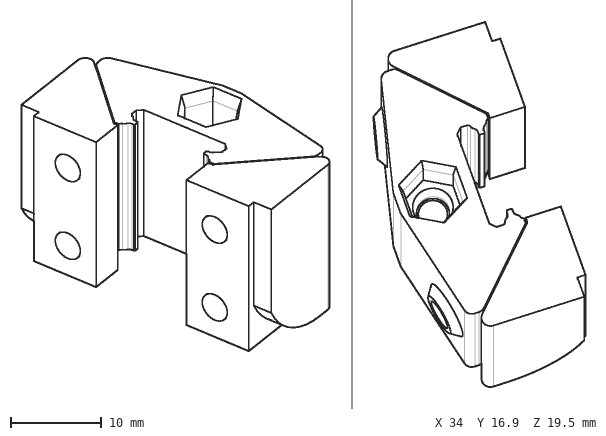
import cadquery as cq
import math

HALF_WIDTH = 17.0
JAW_HEIGHT = 19.5
CHANNEL_HALF_WIDTH = 6.15
JAW_LEDGE_Y = 4.08
SLANT_START_X = 6.73
SLANT_ANGLE = 43.5
CORNER_RADIUS = 1.0
FLANGE_WIDTH = 2.38
FLANGE_SETBACK = 0.95
FLANGE_ARC_RADIUS = 10.0
FLANGE_ARC_Y = 9.93
JAW_HOLE_DIAMETER = 3.4
JAW_HOLE_X = 10.0
JAW_HOLE_HEIGHTS = (3.98, 14.45)

BRIDGE_HEIGHT = 17.0
BRIDGE_BOTTOM_Z = JAW_HEIGHT - BRIDGE_HEIGHT
BRIDGE_BACK_Y = 16.95
BACK_FLAT_HALF_WIDTH = 1.25
BACK_ANGLE = 13.0
BRIDGE_HALF_WIDTH = 15.0
SLANT_GAP = 0.15
BRIDGE_FRONT_Y = 4.3
CHANNEL_FLOOR_Y = 8.1
CHANNEL_CHAMFER = 0.6

TOOTH_Y = 5.5
TOOTH_TIP = (4.65, 0.25)
TOOTH_NOSE = (4.75, 0.35)
TOOTH_ROOT = (5.05, 0.35)
TOOTH_INFLECTION = (5.47, 0.55)
TOOTH_SHOULDER = (5.9, 0.92)
TOOTH_BASE = (CHANNEL_HALF_WIDTH, TOOTH_Y - BRIDGE_FRONT_Y)
TOOTH_ARC_RISE = 0.05

POCKET_Y = 12.8
POCKET_MOUTH_FLATS = 6.65
POCKET_FLATS = 5.8
POCKET_TAPER_DEPTH = 1.5
POCKET_DEPTH = 5.0
SEAT_DIAMETER = 4.45
SEAT_BORE_DIAMETER = 3.65
SEAT_DEPTH = 1.5
SEAT_BORE_DEPTH = 0.68
THROUGH_HOLE_DIAMETER = 3.2

BOSS_X = 10.7
BOSS_HEIGHT = 1.0
BOSS_BASE_DIAMETER = 6.65
BOSS_END_DIAMETER = 4.75
BOSS_HOLE_DIAMETER = 3.4

SLANT_SLOPE = math.tan(math.radians(SLANT_ANGLE))
BACK_SLOPE = math.tan(math.radians(BACK_ANGLE))


def jaw_slant_y(x):
    return JAW_LEDGE_Y + (x - SLANT_START_X) * SLANT_SLOPE


def bridge_slant_y(x):
    return jaw_slant_y(x) + SLANT_GAP / math.cos(math.radians(SLANT_ANGLE))


def back_slope_y(x):
    return BRIDGE_BACK_Y - (x - BACK_FLAT_HALF_WIDTH) * BACK_SLOPE


def round_upright_edge(body, x, y):
    """Fillet the vertical edge that passes through (x, y)."""
    middle = (x, y, JAW_HEIGHT / 2)
    return body.edges("|Z").edges(cq.selectors.NearestToPointSelector(middle)).fillet(CORNER_RADIUS)


def make_jaw():
    """The jaw on the +X side."""
    flange_x = HALF_WIDTH - FLANGE_WIDTH
    apex_y = jaw_slant_y(HALF_WIDTH)
    jaw = (
        cq.Workplane("XY")
        .moveTo(CHANNEL_HALF_WIDTH, 0)
        .lineTo(flange_x, 0)
        .lineTo(flange_x, FLANGE_SETBACK)
        .lineTo(HALF_WIDTH, FLANGE_SETBACK)
        .lineTo(HALF_WIDTH, apex_y)
        .lineTo(SLANT_START_X, JAW_LEDGE_Y)
        .lineTo(CHANNEL_HALF_WIDTH, JAW_LEDGE_Y)
        .close()
        .extrude(JAW_HEIGHT)
    )
    jaw = round_upright_edge(jaw, HALF_WIDTH, apex_y)

    half_chord = FLANGE_ARC_RADIUS * math.sqrt(0.5)
    clearance = (
        cq.Workplane("YZ", origin=(flange_x, 0, 0))
        .moveTo(FLANGE_ARC_Y, 0)
        .threePointArc(
            (FLANGE_ARC_Y - half_chord, FLANGE_ARC_RADIUS - half_chord),
            (FLANGE_ARC_Y - FLANGE_ARC_RADIUS, FLANGE_ARC_RADIUS),
        )
        .lineTo(FLANGE_ARC_Y - FLANGE_ARC_RADIUS, 0)
        .close()
        .extrude(FLANGE_WIDTH)
    )
    jaw = jaw.cut(clearance)

    for height in JAW_HOLE_HEIGHTS:
        hole = cq.Solid.makeCylinder(
            JAW_HOLE_DIAMETER / 2, apex_y, cq.Vector(JAW_HOLE_X, 0, height), cq.Vector(0, 1, 0)
        )
        jaw = jaw.cut(cq.Workplane(hole))
    return jaw


def tooth_point(point, side):
    """Place a tooth point on the back (side = 1) or the front (side = -1) of the tooth."""
    return (point[0], TOOTH_Y + side * point[1])


def arc_middle(start, end, rise):
    """Middle of an arc whose mid height lies `rise` to the left of the chord from start to end."""
    length = math.dist(start, end)
    return (
        (start[0] + end[0]) / 2 - rise * (end[1] - start[1]) / length,
        (start[1] + end[1]) / 2 + rise * (end[0] - start[0]) / length,
    )


def add_tooth_flank(outline, points, rises):
    """Append one arc per point; the sign of each rise makes the arc hollow or crowned."""
    for start, end, rise in zip(points, points[1:], rises):
        outline = outline.threePointArc(arc_middle(start, end, rise), end)
    return outline


def make_bridge_half():
    """The +X half of the bridge block, with its rail tooth."""
    flank = (TOOTH_BASE, TOOTH_SHOULDER, TOOTH_INFLECTION, TOOTH_ROOT)
    back_flank = [tooth_point(point, 1) for point in flank]
    front_flank = [tooth_point(point, -1) for point in reversed(flank)]
    rises = (TOOTH_ARC_RISE, -TOOTH_ARC_RISE, TOOTH_ARC_RISE)
    front_corner_x = SLANT_START_X + (BRIDGE_FRONT_Y - bridge_slant_y(SLANT_START_X)) / SLANT_SLOPE
    back_corner_y = back_slope_y(BRIDGE_HALF_WIDTH)
    slant_corner_y = bridge_slant_y(BRIDGE_HALF_WIDTH)

    outline = (
        cq.Workplane("XY", origin=(0, 0, BRIDGE_BOTTOM_Z))
        .moveTo(0, CHANNEL_FLOOR_Y)
        .lineTo(CHANNEL_HALF_WIDTH - CHANNEL_CHAMFER, CHANNEL_FLOOR_Y)
        .lineTo(CHANNEL_HALF_WIDTH, CHANNEL_FLOOR_Y - CHANNEL_CHAMFER)
        .lineTo(*back_flank[0])
    )
    outline = add_tooth_flank(outline, back_flank, rises)
    outline = (
        outline.lineTo(*tooth_point(TOOTH_NOSE, 1))
        .lineTo(*tooth_point(TOOTH_TIP, 1))
        .lineTo(*tooth_point(TOOTH_TIP, -1))
        .lineTo(*tooth_point(TOOTH_NOSE, -1))
        .lineTo(*front_flank[0])
    )
    outline = add_tooth_flank(outline, front_flank, rises)
    half = (
        outline.lineTo(front_corner_x, BRIDGE_FRONT_Y)
        .lineTo(BRIDGE_HALF_WIDTH, slant_corner_y)
        .lineTo(BRIDGE_HALF_WIDTH, back_corner_y)
        .lineTo(BACK_FLAT_HALF_WIDTH, BRIDGE_BACK_Y)
        .lineTo(0, BRIDGE_BACK_Y)
        .close()
        .extrude(BRIDGE_HEIGHT)
    )
    half = round_upright_edge(half, BRIDGE_HALF_WIDTH, back_corner_y)
    half = round_upright_edge(half, BRIDGE_HALF_WIDTH, slant_corner_y)
    return add_boss(half)


def add_boss(half):
    """Add the conical boss normal to the back slope, with a hole through to the slanted face."""
    angle = math.radians(BACK_ANGLE)
    outward = cq.Vector(math.sin(angle), math.cos(angle), 0)
    base = cq.Vector(BOSS_X, back_slope_y(BOSS_X), BRIDGE_BOTTOM_Z + BRIDGE_HEIGHT / 2)
    boss = cq.Solid.makeCone(
        BOSS_BASE_DIAMETER / 2, BOSS_END_DIAMETER / 2, BOSS_HEIGHT, base, outward
    )
    hole = cq.Solid.makeCylinder(
        BOSS_HOLE_DIAMETER / 2,
        BRIDGE_BACK_Y,
        base + outward * BOSS_HEIGHT,
        outward * -1,
    )
    return half.union(cq.Workplane(boss)).cut(cq.Workplane(hole))


def across_corners(flats):
    return flats / math.cos(math.pi / 6)


def make_nut_pocket():
    """Tapered hexagonal pocket, conical seat, seat bore and through hole as one cutter."""
    taper_z = JAW_HEIGHT - POCKET_TAPER_DEPTH
    floor_z = JAW_HEIGHT - POCKET_DEPTH
    down = cq.Vector(0, 0, -1)
    floor_centre = cq.Vector(0, POCKET_Y, floor_z)

    pocket = (
        cq.Workplane("XY", origin=(0, POCKET_Y, floor_z))
        .polygon(6, across_corners(POCKET_FLATS))
        .extrude(taper_z - floor_z)
    )
    mouth = (
        cq.Workplane("XY", origin=(0, POCKET_Y, taper_z))
        .polygon(6, across_corners(POCKET_FLATS))
        .workplane(offset=POCKET_TAPER_DEPTH)
        .polygon(6, across_corners(POCKET_MOUTH_FLATS))
        .loft(ruled=True)
    )
    seat = cq.Solid.makeCone(SEAT_DIAMETER / 2, SEAT_BORE_DIAMETER / 2, SEAT_DEPTH, floor_centre, down)
    bore = cq.Solid.makeCylinder(
        SEAT_BORE_DIAMETER / 2, SEAT_DEPTH + SEAT_BORE_DEPTH, floor_centre, down
    )
    through_hole = cq.Solid.makeCylinder(THROUGH_HOLE_DIAMETER / 2, floor_z, floor_centre, down)
    cutter = mouth.union(pocket)
    for step in (seat, bore, through_hole):
        cutter = cutter.union(cq.Workplane(step))
    return cutter


def make_bridge():
    half = make_bridge_half()
    return half.union(half.mirror("YZ")).clean().cut(make_nut_pocket())


jaw = make_jaw()
jaws = [jaw, jaw.mirror("YZ")]
bridge = make_bridge()

result = cq.Compound.makeCompound([bridge.val(), *(side.val() for side in jaws)])